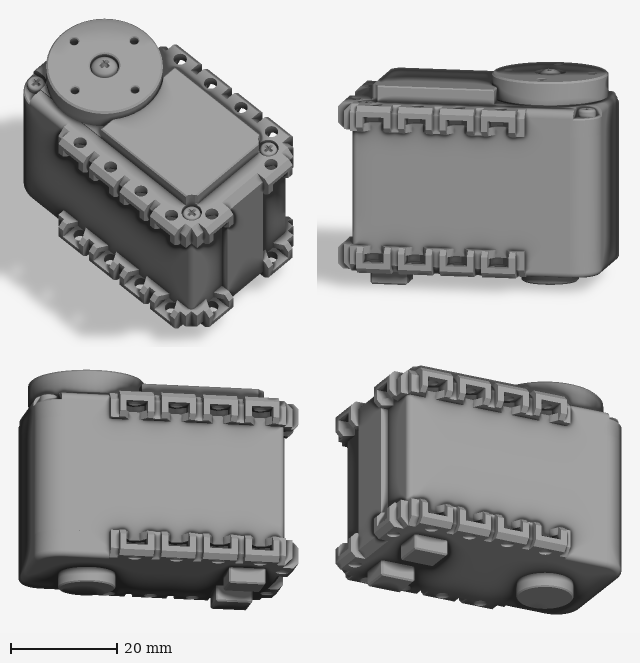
import cadquery as cq
import math


FRONT_X = -11.5
BACK_X = 35.5
HALF_WIDTH = 13.0
CASE_HEIGHT = 32.0
CAP_HEIGHT = 5.0
CAP_BASE_Z = CASE_HEIGHT - CAP_HEIGHT
FRONT_CORNER_RADIUS = 5.0
BACK_CORNER_RADIUS = 1.0
TOP_EDGE_RADIUS = 1.5
BOTTOM_EDGE_RADIUS = 1.0
OVERCUT = 0.5

FLANGE_START_X = 2.0
FLANGE_REACH = 1.5
TAB_REACH = 3.0
TAB_WIDTH = 6.5
TAB_CHAMFER = 1.0
TAB_PITCH = 8.0
TABS_PER_SIDE = 4
FIRST_TAB_X = 6.75
TAB_HOLE_DIAMETER = 2.5
TAB_HOLE_OFFSET = 0.5

NUT_WIDTH = 4.1
HALF_HEX_ANGLE = math.radians(30)
NUT_SLOT_HEIGHT = 3.0
NUT_ENTRY_HEIGHT = 1.5
ENTRY_INNER_WIDTH = 2.0
ENTRY_TAPER_LENGTH = 1.8

BACK_RIB_WIDTH = 2 * TAB_PITCH - TAB_WIDTH

RAISED_HALF_WIDTH = 10.0
PLATFORM_RISE = 0.25
PLATFORM_Z = CASE_HEIGHT + PLATFORM_RISE
COVER_START_X = 8.75
COVER_END_X = 32.5
COVER_HEIGHT = 3.0
COVER_CHAMFER = 0.25
COVER_CORNER_CHAMFER = 0.35
HORN_CLEARANCE_DIAMETER = 22.5

CASE_SCREW_SEAT_Z = 30.5
CASE_SCREW_DIAMETER = 3.3
CASE_SCREW_HEIGHT = 1.4
CASE_SCREW_ROUNDING = 0.5
CASE_SCREW_CLEARANCE_DIAMETER = 3.85
FRONT_LEDGE_CHAMFER = 0.25
FRONT_SCREW_X = -9.0
FRONT_SCREW_Y = 9.25
BACK_SCREW_X = 33.0
BACK_SCREW_Y = 10.35
CASE_DRIVE_SPAN = 2.1
CASE_DRIVE_WIDTH = 0.6
CASE_DRIVE_CORE_DIAMETER = 0.8
CASE_DRIVE_DEPTH = 0.6

HORN_DIAMETER = 22.0
HORN_TOP_Z = 37.0
HORN_CHAMFER = 0.35
HORN_HOLE_DIAMETER = 1.6
HORN_HOLE_MOUTH_DIAMETER = 2.0
HORN_HOLE_MOUTH_ANGLE = 90.0
HORN_HOLE_CIRCLE_RADIUS = 8.0
HORN_HOLE_COUNT = 4
HORN_RECESS_DIAMETER = 5.5
HORN_RECESS_DEPTH = 2.0
HORN_RECESS_CHAMFER = 0.25

HORN_SCREW_DIAMETER = 5.0
HORN_SCREW_APEX_Z = 37.6
HORN_SCREW_DOME_RADIUS = 3.0
HORN_DRIVE_SPAN = 2.4
HORN_DRIVE_WIDTH = 0.85
HORN_DRIVE_CORE_DIAMETER = 1.2
HORN_DRIVE_DEPTH = 0.9

BOSS_DIAMETER = 10.8
BOSS_HEIGHT = 2.8
BOSS_CHAMFER = 0.25
CONNECTOR_START_X = 25.5
CONNECTOR_INNER_Y = 3.8
CONNECTOR_HEIGHT = 3.0
CONNECTOR_CHAMFER = 0.3


def block(x_range, y_range, z_range):
    """Box between the given limits along each axis."""
    size = [high - low for low, high in (x_range, y_range, z_range)]
    return cq.Workplane("XY").box(*size, centered=False).translate((x_range[0], y_range[0], z_range[0]))


def disc(diameter, bottom_z, top_z, x=0.0, y=0.0):
    """Upright cylinder."""
    return cq.Workplane("XY", origin=(x, y, bottom_z)).circle(diameter / 2).extrude(top_z - bottom_z)


def case_outline(bottom_z, top_z):
    """Case block with its two front corners rounded."""
    body = block((FRONT_X, BACK_X), (-HALF_WIDTH, HALF_WIDTH), (bottom_z, top_z))
    return body.edges("|Z and <X").fillet(FRONT_CORNER_RADIUS)


def rounded_case_block(bottom_z, top_z, edge_radius):
    """Case block with its upper front and side edges rounded as well."""
    return case_outline(bottom_z, top_z).faces(">Z").edges("not >X").fillet(edge_radius)




def tab_block():
    half = TAB_WIDTH / 2
    tab = block((-half, half), (-OVERCUT, TAB_REACH), (CAP_BASE_Z, CASE_HEIGHT))
    return tab.edges("|X and >Y").chamfer(TAB_CHAMFER)


def tab_cutout():
    """Screw hole, hexagonal nut seat and the tapered entry below the seat."""
    half = NUT_WIDTH / 2
    point_y = TAB_HOLE_OFFSET - half / math.cos(HALF_HEX_ANGLE)
    shoulder_y = TAB_HOLE_OFFSET - half * math.tan(HALF_HEX_ANGLE)
    mouth_y = TAB_REACH + OVERCUT
    seat_z = CAP_BASE_Z + NUT_ENTRY_HEIGHT
    ceiling_z = CAP_BASE_Z + NUT_SLOT_HEIGHT

    seat_points = [(-half, mouth_y), (-half, shoulder_y), (0, point_y), (half, shoulder_y), (half, mouth_y)]
    seat_plane = cq.Workplane("XY", origin=(0, 0, seat_z))
    seat = seat_plane.polyline(seat_points).close().extrude(ceiling_z - seat_z)

    inner = ENTRY_INNER_WIDTH / 2
    entry_points = [
        (-half, mouth_y),
        (-half, ENTRY_TAPER_LENGTH),
        (-inner, 0),
        (inner, 0),
        (half, ENTRY_TAPER_LENGTH),
        (half, mouth_y),
    ]
    entry_plane = cq.Workplane("XY", origin=(0, 0, CAP_BASE_Z))
    entry = entry_plane.polyline(entry_points).close().extrude(NUT_ENTRY_HEIGHT)

    hole = disc(TAB_HOLE_DIAMETER, seat_z, CASE_HEIGHT + OVERCUT, 0, TAB_HOLE_OFFSET)
    return seat.union(entry).union(hole)


def at_every_tab(shape):
    """Copies of a tab-shaped solid at all tab places on the two sides and the back."""
    copies = []
    for index in range(TABS_PER_SIDE):
        x = FIRST_TAB_X + index * TAB_PITCH
        copies.append(shape.translate((x, HALF_WIDTH, 0)))
        copies.append(shape.rotate((0, 0, 0), (0, 0, 1), 180).translate((x, -HALF_WIDTH, 0)))
    for y in (-TAB_PITCH, TAB_PITCH):
        copies.append(shape.rotate((0, 0, 0), (0, 0, 1), -90).translate((BACK_X, y, 0)))
    return copies




def flanged_cap(edge_radius):
    """Cap in the top position: rounded edges, stepped flange and the mounting tabs."""
    z_range = (CAP_BASE_Z, CASE_HEIGHT)
    cap = rounded_case_block(*z_range, edge_radius)

    flange_y = HALF_WIDTH + FLANGE_REACH
    side_flange = block((FLANGE_START_X, BACK_X), (-flange_y, flange_y), z_range)
    side_flange = side_flange.faces(">Z").edges("|X").chamfer(FLANGE_REACH)
    back_flange = block((FLANGE_START_X, BACK_X + FLANGE_REACH), (-HALF_WIDTH, HALF_WIDTH), z_range)
    back_flange = back_flange.faces(">Z").edges(">X").chamfer(FLANGE_REACH)
    cap = cap.union(side_flange).union(back_flange)

    for tab in at_every_tab(tab_block()):
        cap = cap.union(tab)
    for cutout in at_every_tab(tab_cutout()):
        cap = cap.cut(cutout)
    return cap


def raised_faces():
    """Low platform under the horn and the taller cover behind it, cut back around the horn."""
    y_range = (-RAISED_HALF_WIDTH, RAISED_HALF_WIDTH)
    platform = rounded_case_block(CAP_BASE_Z, PLATFORM_Z, TOP_EDGE_RADIUS)
    platform = platform.intersect(block((FRONT_X, COVER_END_X), y_range, (CAP_BASE_Z, PLATFORM_Z)))
    cover_top_z = CASE_HEIGHT + COVER_HEIGHT
    cover = block((COVER_START_X, COVER_END_X), y_range, (CASE_HEIGHT, cover_top_z))
    cover = cover.faces(">Z").edges().chamfer(COVER_CHAMFER)
    cover = cover.cut(disc(HORN_CLEARANCE_DIAMETER, PLATFORM_Z, cover_top_z))
    for side in (-1, 1):
        cover = cover.cut(screw_clearance(BACK_SCREW_X, side * BACK_SCREW_Y))
    cover = cover.edges("|Z and >X").chamfer(COVER_CORNER_CHAMFER)
    return platform.union(cover)


def screw_places():
    return [
        (x, side * y)
        for x, y in ((FRONT_SCREW_X, FRONT_SCREW_Y), (BACK_SCREW_X, BACK_SCREW_Y))
        for side in (-1, 1)
    ]


def screw_clearance(x, y):
    """Round counterbore; at the front it opens to both outer walls of the corner."""
    top_z = CASE_HEIGHT + COVER_HEIGHT + OVERCUT
    space = disc(CASE_SCREW_CLEARANCE_DIAMETER, CASE_SCREW_SEAT_Z, top_z, x, y)
    if x == FRONT_SCREW_X:
        radius = CASE_SCREW_CLEARANCE_DIAMETER / 2
        side = math.copysign(1, y)
        wall_x = FRONT_X - OVERCUT
        wall_y = side * (HALF_WIDTH + OVERCUT)
        z_range = (CASE_SCREW_SEAT_Z, top_z)
        to_front = block((wall_x, x), sorted((y - side * radius, wall_y)), z_range)
        to_side = block((wall_x, x + radius), sorted((y, wall_y)), z_range)
        space = space.union(to_front).union(to_side)
    return space


def front_ledge_bevel():
    """Material beveled off the outer edges of the two front screw ledges."""
    ledge_inset = CASE_SCREW_CLEARANCE_DIAMETER / 2
    zone_z = (CASE_SCREW_SEAT_Z - FRONT_LEDGE_CHAMFER, CASE_SCREW_SEAT_Z)
    beveled_case = case_outline(CAP_BASE_Z, CASE_SCREW_SEAT_Z)
    beveled_case = beveled_case.faces(">Z").edges("not >X").chamfer(FRONT_LEDGE_CHAMFER)
    x_range = (FRONT_X, FRONT_SCREW_X + ledge_inset)
    inner_y = FRONT_SCREW_Y - ledge_inset
    bevel = block(x_range, (inner_y, HALF_WIDTH), zone_z)
    bevel = bevel.union(bevel.mirror("XZ"))
    return bevel.cut(beveled_case)


def make_top_cap():
    cap = flanged_cap(TOP_EDGE_RADIUS).union(raised_faces())
    for x, y in screw_places():
        cap = cap.cut(screw_clearance(x, y))
    return cap.cut(front_ledge_bevel())


def make_bottom_cap():
    cap = flanged_cap(BOTTOM_EDGE_RADIUS).mirror("XY").translate((0, 0, CASE_HEIGHT))
    boss = disc(BOSS_DIAMETER, -BOSS_HEIGHT, 0).faces("<Z").edges().chamfer(BOSS_CHAMFER)
    cap = cap.union(boss)
    for y_range in ((CONNECTOR_INNER_Y, RAISED_HALF_WIDTH), (-RAISED_HALF_WIDTH, -CONNECTOR_INNER_Y)):
        connector = block((CONNECTOR_START_X, COVER_END_X), y_range, (-CONNECTOR_HEIGHT, 0))
        connector = connector.edges("|Z or <Z").chamfer(CONNECTOR_CHAMFER)
        cap = cap.union(connector)
    return cap


def make_middle_case():
    z_range = (CAP_HEIGHT, CAP_BASE_Z)
    body = case_outline(*z_range).edges("|Z and >X").fillet(BACK_CORNER_RADIUS)
    half_rib = BACK_RIB_WIDTH / 2
    return body.union(block((BACK_X - OVERCUT, BACK_X + FLANGE_REACH), (-half_rib, half_rib), z_range))




def make_horn():
    horn = disc(HORN_DIAMETER, PLATFORM_Z, HORN_TOP_Z).edges().chamfer(HORN_CHAMFER)
    horn = horn.cut(disc(HORN_RECESS_DIAMETER, HORN_TOP_Z - HORN_RECESS_DEPTH, HORN_TOP_Z))
    recess_rim = cq.selectors.RadiusNthSelector(0)
    horn = horn.faces(">Z").edges(recess_rim).chamfer(HORN_RECESS_CHAMFER)
    return (
        horn.faces(">Z")
        .workplane(origin=(0, 0, HORN_TOP_Z))
        .polarArray(HORN_HOLE_CIRCLE_RADIUS, 0, 360, HORN_HOLE_COUNT)
        .cskHole(HORN_HOLE_DIAMETER, HORN_HOLE_MOUTH_DIAMETER, HORN_HOLE_MOUTH_ANGLE)
    )


def drive_recess(span, width, core_diameter, depth, top_z):
    """Cross-shaped screwdriver recess about the Z axis: arms sloping down to a round core."""
    bottom_z = top_z - depth
    arm = cq.Workplane("XY", origin=(0, 0, bottom_z)).rect(span, width).extrude(depth)
    cross = arm.union(arm.rotate((0, 0, 0), (0, 0, 1), 90))
    slope = cq.Solid.makeCone(core_diameter / 2, span / 2, depth, pnt=cq.Vector(0, 0, bottom_z))
    return cross.intersect(cq.Workplane(slope)).union(disc(core_diameter, bottom_z, top_z))


def make_horn_screw():
    """Domed head standing on the floor of the horn recess."""
    head = disc(HORN_SCREW_DIAMETER, HORN_TOP_Z - HORN_RECESS_DEPTH, HORN_SCREW_APEX_Z)
    dome_center_z = HORN_SCREW_APEX_Z - HORN_SCREW_DOME_RADIUS
    head = head.intersect(cq.Workplane("XY", origin=(0, 0, dome_center_z)).sphere(HORN_SCREW_DOME_RADIUS))
    return head.cut(
        drive_recess(
            HORN_DRIVE_SPAN, HORN_DRIVE_WIDTH, HORN_DRIVE_CORE_DIAMETER, HORN_DRIVE_DEPTH, HORN_SCREW_APEX_Z
        )
    )


def make_case_screw(x, y):
    top_z = CASE_SCREW_SEAT_Z + CASE_SCREW_HEIGHT
    head = disc(CASE_SCREW_DIAMETER, CASE_SCREW_SEAT_Z, top_z)
    head = head.faces(">Z").edges().fillet(CASE_SCREW_ROUNDING)
    head = head.cut(
        drive_recess(CASE_DRIVE_SPAN, CASE_DRIVE_WIDTH, CASE_DRIVE_CORE_DIAMETER, CASE_DRIVE_DEPTH, top_z)
    )
    return head.translate((x, y, 0))


top_cap = make_top_cap()
middle_case = make_middle_case()
bottom_cap = make_bottom_cap()
horn = make_horn()
horn_screw = make_horn_screw()
case_screws = [make_case_screw(x, y) for x, y in screw_places()]

result = cq.Compound.makeCompound(
    [
        top_cap.val(),
        middle_case.val(),
        bottom_cap.val(),
        horn.val(),
        horn_screw.val(),
        *[screw.val() for screw in case_screws],
    ]
)